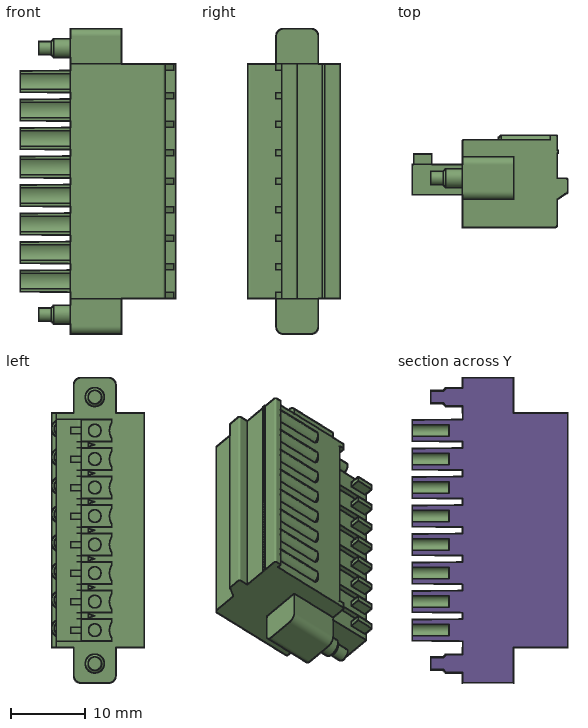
import cadquery as cq


overall_height = 40.85
overall_depth = 20.8
plug_length = 6.7
back_x = overall_depth - plug_length

housing_height = 31.4
housing_depth = 12.7
housing_top_y = 5.15
housing_bottom_y = -6.62
front_edge_radius = 0.25
back_edge_radius = 0.35

pole_count = 8
pole_span = 26.7
pole_pitch = pole_span / (pole_count - 1)
pole_positions = [pole_span / 2 - i * pole_pitch for i in range(pole_count)]

plug_tip_height = 2.85
plug_root_height = 3.0
plug_top_y = 1.85
plug_bottom_y = -2.25
contact_hole_diameter = 1.68
contact_hole_depth = 4.9
groove_width = 2.05
groove_depth = 0.3
key_width = 0.8
key_height = 1.4
key_length = 2.4
key_setback = 0.2
root_fillet = 0.5

recess_depth = 0.8
recess_height = pole_span + plug_root_height

flange_width = 5.7
flange_depth = 6.85
flange_radius = 1.02
screw_offset = 17.8
screw_radius = 1.25
screw_length = 2.2
screw_neck_radius = 0.9
screw_cone_length = 0.35
screw_tip_length = 1.68

wall_top_y = 5.75
wall_front_x = 11.75
wall_edge_radius = 0.25
rib_front_x = 4.82
rib_radius = 1.23
rib_offset = 0.25
rib_lead_length = 0.35
rib_lead_height = 0.33

ledge_bottom_y = -2.1
gusset_bottom_y = -2.85
ledge_edge_radius = 0.25
bead_width = 0.35
bead_y = 3.5
bead_height = 0.12

mark_length = 0.85
mark_width = 0.5
mark_depth = 0.12


def block(x_range, y_range, z_range):
    """Box between two limits along each axis."""
    (x0, x1), (y0, y1), (z0, z1) = x_range, y_range, z_range
    return cq.Workplane("XY").box(x1 - x0, y1 - y0, z1 - z0, centered=False).translate((x0, y0, z0))


def make_housing():
    half = housing_height / 2
    body = block((0, housing_depth), (housing_bottom_y, housing_top_y), (-half, half))
    body = body.edges("|Z and >X and <Y").fillet(back_edge_radius)
    body = body.edges("|Z and <X and >Y").fillet(front_edge_radius)
    wall = block((wall_front_x, housing_depth), (0, wall_top_y), (-half, half))
    wall = wall.edges("|Z and >X and >Y").fillet(wall_edge_radius)
    bead = block(
        (housing_depth, housing_depth + bead_height),
        (bead_y - bead_width / 2, bead_y + bead_width / 2),
        (-half, half),
    )
    recess = block(
        (0, recess_depth),
        (plug_top_y, housing_top_y),
        (-recess_height / 2, recess_height / 2),
    )
    return body.union(wall).union(bead).cut(recess)


def make_flanges():
    """One rounded bar through the housing forms both flanges."""
    half = overall_height / 2
    bar = block((0, flange_depth), (-flange_width / 2, flange_width / 2), (-half, half))
    bar = bar.edges("|X").fillet(flange_radius)
    core = block(
        (0, recess_depth),
        (plug_top_y, flange_width / 2),
        (-recess_height / 2, recess_height / 2),
    )
    return bar.cut(core)


def make_screw(z):
    """Stepped screw end, turned about its own X axis."""
    shoulder_x = -screw_length
    neck_x = shoulder_x - screw_cone_length
    tip_x = neck_x - screw_tip_length
    profile = [
        (0, 0),
        (0, screw_radius),
        (shoulder_x, screw_radius),
        (neck_x, screw_neck_radius),
        (tip_x, screw_neck_radius),
        (tip_x, 0),
    ]
    screw = cq.Workplane("XY").polyline(profile).close().revolve(360, (0, 0, 0), (1, 0, 0))
    return screw.translate((0, 0, z))


def make_plug():
    """Drafted contact plug with its key, side groove and fillet at the recess floor."""
    tip = plug_tip_height / 2
    root = plug_root_height / 2
    outline = [
        (-plug_length, -tip),
        (0, -root),
        (recess_depth, -root),
        (recess_depth, root),
        (0, root),
        (-plug_length, tip),
    ]
    plug = (
        cq.Workplane("XZ", origin=(0, plug_top_y, 0))
        .polyline(outline)
        .close()
        .extrude(plug_top_y - plug_bottom_y)
    )

    groove_radius = ((groove_width / 2) ** 2 + groove_depth**2) / (2 * groove_depth)
    groove_y = plug_bottom_y + groove_depth - groove_radius
    groove = (
        cq.Workplane("YZ", origin=(-plug_length, groove_y, 0))
        .circle(groove_radius)
        .extrude(plug_length)
    )
    hole = (
        cq.Workplane("YZ", origin=(-plug_length, 0, 0))
        .circle(contact_hole_diameter / 2)
        .extrude(contact_hole_depth)
    )

    key_front_x = -plug_length + key_setback
    key = block(
        (key_front_x, key_front_x + key_length),
        (plug_top_y, plug_top_y + key_height),
        (-key_width / 2, key_width / 2),
    )

    corner = block(
        (recess_depth - root_fillet, recess_depth),
        (plug_top_y, plug_top_y + root_fillet),
        (-root, root),
    )
    hollow = (
        cq.Workplane("XY", origin=(recess_depth - root_fillet, plug_top_y + root_fillet, -root))
        .circle(root_fillet)
        .extrude(plug_root_height)
    )
    return plug.union(key).union(corner.cut(hollow)).cut(groove).cut(hole)


def make_rib():
    """Rounded rib on top of the housing with a bevelled lead-in."""
    rib = (
        cq.Workplane("YZ", origin=(rib_front_x, wall_top_y - rib_radius, rib_offset))
        .circle(rib_radius)
        .extrude(wall_front_x - rib_front_x)
    )
    return rib.faces("<X").edges().chamfer(rib_lead_length, rib_lead_height)


def make_ledge():
    """Back ledge braced by sloped gussets on both sides of every pole."""
    half = housing_height / 2
    ledge = block((housing_depth, back_x), (ledge_bottom_y, 0), (-half, half))
    ledge = ledge.edges("|Z and >X").fillet(ledge_edge_radius)
    gusset_profile = [
        (housing_depth, ledge_bottom_y),
        (back_x - ledge_edge_radius, ledge_bottom_y),
        (housing_depth, gusset_bottom_y),
    ]
    gussets = cq.Workplane("XY").polyline(gusset_profile).close().extrude(half, both=True)
    for z in pole_positions:
        window = block(
            (housing_depth, back_x),
            (gusset_bottom_y, ledge_bottom_y),
            (z - plug_root_height / 2, z + plug_root_height / 2),
        )
        gussets = gussets.cut(window)
    return ledge.union(gussets)


def make_mark(z):
    """Shallow triangle engraved in the mating face."""
    corners = [(0, 0), (mark_length, mark_width / 2), (mark_length, -mark_width / 2)]
    mark = cq.Workplane("YZ").polyline(corners).close().extrude(mark_depth)
    return mark.translate((0, 0, z))


result = make_housing().union(make_flanges()).union(make_ledge())

plug = make_plug()
rib = make_rib()
for z in pole_positions:
    result = result.union(plug.translate((0, 0, z)))
    result = result.union(rib.translate((0, 0, z)))

for z in (screw_offset, -screw_offset):
    result = result.union(make_screw(z))

for z in pole_positions[:-1]:
    result = result.cut(make_mark(z - pole_pitch / 2))